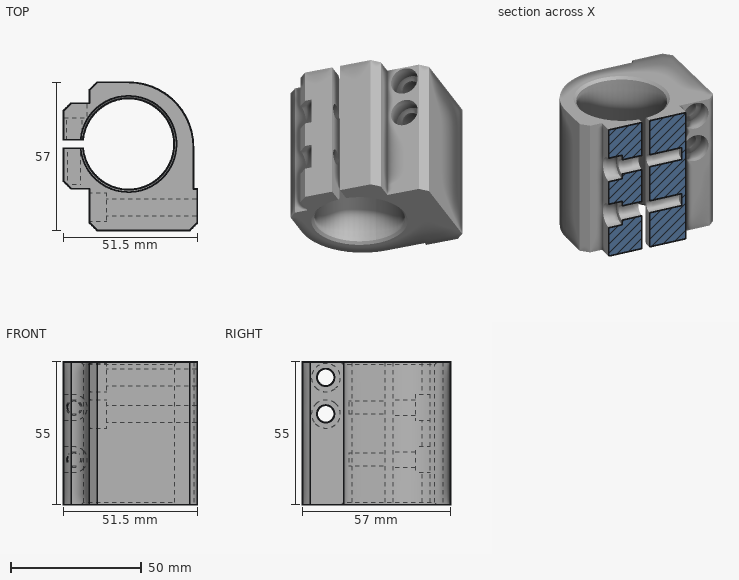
import cadquery as cq
import math

height = 55.0
bore_diameter = 35.0
bore_chamfer = 1.0
corner_chamfer = 3.0

body_left = -15.0
body_right = 25.0
body_back = 23.75
round_radius = 25.0
round_center_x = body_right - round_radius
round_center_y = body_back - round_radius

foot_front = -33.25
foot_depth = 16.0
foot_back = foot_front + foot_depth
lip_width = 1.5
lip_right = body_right + lip_width

ear_left = -25.0
ear_back = 15.75
slit_width = 3.2

clamp_x = -21.0
clamp_spacing = 20.0
clamp_heights = [height / 2 - clamp_spacing / 2, height / 2 + clamp_spacing / 2]
clamp_clearance_diameter = 6.0
clamp_tap_diameter = 5.0
clamp_tap_depth = 13.8
clamp_tap_end = -slit_width / 2 - clamp_tap_depth
clamp_head_diameter = 10.0
clamp_head_depth = 5.6

mount_front_offset = 9.0
mount_y = foot_front + mount_front_offset
mount_top_offset = 6.0
mount_spacing = 14.0
mount_heights = [height - mount_top_offset, height - mount_top_offset - mount_spacing]
mount_hole_diameter = 6.6
mount_head_diameter = 11.0
mount_head_depth = 6.5


def cylinder_along(axis, diameter, start, length):
    """Solid cylinder starting at a point and running along an axis."""
    cylinder = cq.Solid.makeCylinder(diameter / 2, length, cq.Vector(*start), cq.Vector(*axis))
    return cq.Workplane(cylinder)


def make_block():
    """Extruded outline of body, foot and ears."""
    c = corner_chamfer
    arc_reach = round_radius * math.cos(math.pi / 4)
    arc_middle = (round_center_x + arc_reach, round_center_y + arc_reach)
    return (
        cq.Workplane("XY")
        .moveTo(body_left + c, foot_front)
        .lineTo(lip_right - c, foot_front)
        .lineTo(lip_right, foot_front + c)
        .lineTo(lip_right, foot_back)
        .lineTo(body_right, foot_back)
        .lineTo(body_right, round_center_y)
        .threePointArc(arc_middle, (round_center_x, body_back))
        .lineTo(body_left + c, body_back)
        .lineTo(body_left, body_back - c)
        .lineTo(body_left, ear_back)
        .lineTo(ear_left + c, ear_back)
        .lineTo(ear_left, ear_back - c)
        .lineTo(ear_left, foot_back + c)
        .lineTo(ear_left + c, foot_back)
        .lineTo(body_left, foot_back)
        .lineTo(body_left, foot_front + c)
        .close()
        .extrude(height)
    )


def cut_bore(part):
    """Through bore, chamfered at both ends."""
    bore = cq.Workplane("XY").circle(bore_diameter / 2).extrude(height)
    rims = part.cut(bore).edges("%CIRCLE").edges(cq.selectors.RadiusNthSelector(0))
    return rims.chamfer(bore_chamfer)


def cut_slit(part):
    """Slit between the ears, from the -X face into the bore."""
    slit = cq.Workplane("XY").box(-ear_left, slit_width, height, centered=(False, True, False))
    return part.cut(slit.translate((ear_left, 0, 0)))


def cut_clamp_screw(part, z):
    """Head recess open to -X and clearance hole in the back ear, blind tapped hole in the front ear."""
    seat_y = ear_back - clamp_head_depth
    recess = cylinder_along((0, 1, 0), clamp_head_diameter, (clamp_x, seat_y, z), clamp_head_depth)
    opening = cq.Workplane("XY").box(
        clamp_x - ear_left, clamp_head_depth, clamp_head_diameter, centered=(False, False, True)
    ).translate((ear_left, seat_y, z))
    clearance = cylinder_along((0, 1, 0), clamp_clearance_diameter, (clamp_x, 0, z), ear_back)
    tapped = cylinder_along((0, 1, 0), clamp_tap_diameter, (clamp_x, clamp_tap_end, z), -clamp_tap_end)
    return part.cut(recess).cut(opening).cut(clearance).cut(tapped)


def cut_mount_screw(part, z):
    """Through hole along X, counterbored from the -X side."""
    start = (body_left, mount_y, z)
    hole = cylinder_along((1, 0, 0), mount_hole_diameter, start, lip_right - body_left)
    head = cylinder_along((1, 0, 0), mount_head_diameter, start, mount_head_depth)
    return part.cut(hole).cut(head)


result = cut_slit(cut_bore(make_block()))
for z in clamp_heights:
    result = cut_clamp_screw(result, z)
for z in mount_heights:
    result = cut_mount_screw(result, z)